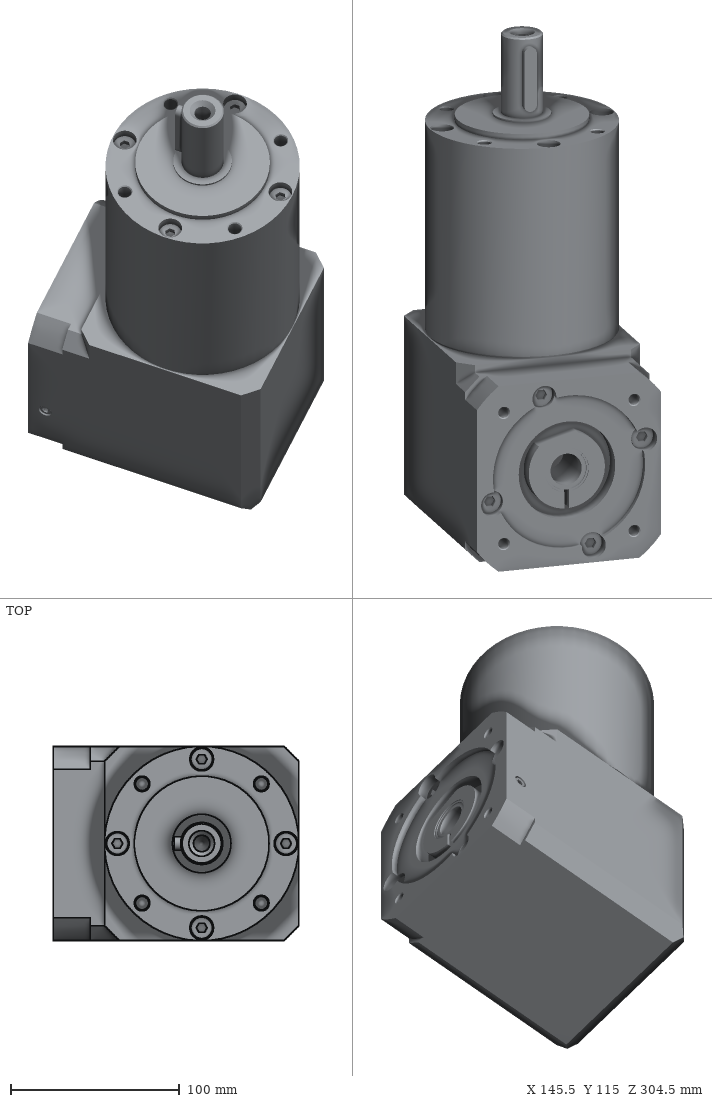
import cadquery as cq
import math


side = 115.0
half_side = side / 2
total_length_x = 145.5
total_height = 304.5
housing_height = 119.7
corner_chamfer = 8.8
flange_x = half_side - total_length_x
flange_thickness = 22.0
flange_corner_radius = 72.5
motor_axis_z = half_side

body_radius = half_side
seat_radius = 56.5
seat_height = 1.2
body_top = 250.0
pilot_radius = 40.0
pilot_top = 253.5
collar_radius = 17.5
collar_top = 255.0

shaft_radius = 12.5
shaft_chamfer = 1.0
key_width = 8.0
key_length = 40.0
key_bottom = 259.7
key_reach = 16.0
centre_hole_radius = 5.0
centre_hole_depth = 21.3
centre_hole_mouth_radius = 7.5

bolt_circle_radius = 50.0
output_recess_diameter = 14.0
output_recess_depth = 4.5
output_socket_size = 6.5
flange_recess_diameter = 15.0
flange_recess_depth = 6.0
flange_socket_size = 7.3
flange_bolt_angle = -18.0
socket_depth = 3.0
head_gap = 0.5
head_height = 1.5

output_hole_diameter = 8.0
output_hole_depth = 15.2
flange_hole_diameter = 6.5
flange_hole_depth = 15.2
flange_hole_circle_radius = 57.5
hole_chamfer = 0.5

recess_radius = 47.5
recess_depth = 4.0
well_radius = 30.0
well_depth = 13.7
hub_radius = 23.8
hub_face_depth = 4.3
hub_flat_distance = 20.0
hub_flat_angle = -15.0
hub_mouth_radius = 13.7
hub_mouth_depth = 0.5
sleeve_radius = 12.5
sleeve_face_depth = 5.5
hub_bore_radius = 9.7
hub_bore_depth = 39.5
hub_slot_width = 3.0

plug_z = 40.5
plug_diameter = 8.2
plug_recess_depth = 0.5
plug_socket_size = 4.3


def cylinder_z(radius, bottom, top):
    return cq.Workplane("XY").workplane(offset=bottom).circle(radius).extrude(top - bottom)


def cylinder_x(radius, start_depth, end_depth):
    """Cylinder on the motor axis between two depths measured from the flange face."""
    return flange_plane(start_depth).circle(radius).extrude(end_depth - start_depth)


def flange_plane(depth):
    """Plane on the motor axis, normal +X: local x is +Y and local y is +Z."""
    return cq.Workplane("YZ", origin=(flange_x + depth, 0, motor_axis_z))


def polar_points(radius, first_angle, count=4):
    angles = [math.radians(first_angle + 360 * i / count) for i in range(count)]
    return [(radius * math.cos(a), radius * math.sin(a)) for a in angles]


def make_housing():
    block = cq.Workplane("XY").box(side, side, housing_height, centered=(True, True, False))
    upright = block.edges("|Z").chamfer(corner_chamfer)
    for base_edges in ("|X and <Z", "|Y and <Z"):
        upright = upright.intersect(block.edges(base_edges).chamfer(corner_chamfer))
    snout = (
        flange_plane(flange_thickness)
        .rect(side, side)
        .extrude(-flange_x - flange_thickness)
        .edges("|X")
        .chamfer(corner_chamfer)
    )
    return upright.union(snout)


def make_flange():
    plate = flange_plane(0).rect(side, side).extrude(flange_thickness)
    return plate.intersect(cylinder_x(flange_corner_radius, 0, flange_thickness))


def make_output_body():
    seat = cylinder_z(seat_radius, housing_height, housing_height + seat_height)
    body = cylinder_z(body_radius, housing_height + seat_height, body_top)
    pilot = cylinder_z(pilot_radius, body_top, pilot_top)
    collar = cylinder_z(collar_radius, pilot_top, collar_top)
    return seat.union(body).union(pilot).union(collar)


def make_shaft():
    shaft = cylinder_z(shaft_radius, collar_top, total_height).faces(">Z").chamfer(shaft_chamfer)
    key = (
        cq.Workplane("YZ", origin=(0, 0, key_bottom + key_length / 2))
        .slot2D(key_length, key_width, 90)
        .extrude(-key_reach)
    )
    hole_bottom = total_height - centre_hole_depth
    cone_start = hole_bottom + centre_hole_radius
    mouth_start = total_height - (centre_hole_mouth_radius - centre_hole_radius)
    centre_hole = (
        cq.Workplane("XZ")
        .polyline(
            [
                (0, hole_bottom),
                (centre_hole_radius, cone_start),
                (centre_hole_radius, mouth_start),
                (centre_hole_mouth_radius, total_height),
                (0, total_height),
            ]
        )
        .close()
        .revolve()
    )
    return shaft.union(key).cut(centre_hole)


def screw_recesses(plane, points, diameter, depth, socket_size):
    """Cutter for sunk screw heads; the plane normal points into the material."""
    recesses = plane.pushPoints(points).circle(diameter / 2).extrude(depth)
    sockets = plane.pushPoints(points).polygon(6, socket_size).extrude(depth + socket_depth)
    gaps = (
        plane.pushPoints(points)
        .circle(diameter / 2)
        .circle(diameter / 2 - head_gap)
        .extrude(depth + head_height)
    )
    return recesses.union(sockets).union(gaps)


def threaded_holes(plane, points, diameter, depth):
    """Cutter for blind holes with a chamfered mouth; the plane normal points into the material."""
    holes = plane.pushPoints(points).circle(diameter / 2).extrude(depth)
    mouths = (
        plane.pushPoints(points)
        .circle(diameter / 2 + hole_chamfer)
        .extrude(hole_chamfer, taper=45)
    )
    return holes.union(mouths)


def make_motor_recess():
    """Cutter for the motor pilot, leaving the clamping hub standing in its well."""
    hub = cylinder_x(hub_radius, hub_face_depth, well_depth)
    flat_cut = (
        flange_plane(0)
        .transformed(rotate=(0, 0, hub_flat_angle))
        .center(0, hub_flat_distance + hub_radius / 2)
        .rect(2 * hub_radius, hub_radius)
        .extrude(well_depth)
    )
    slot = flange_plane(0).center(0, -hub_radius / 2).rect(hub_slot_width, hub_radius).extrude(well_depth)
    sleeve = cylinder_x(sleeve_radius, sleeve_face_depth, well_depth)
    mouth = cylinder_x(hub_mouth_radius, 0, hub_face_depth + hub_mouth_depth)
    sleeve_seat = cylinder_x(sleeve_radius, 0, well_depth)
    bore = cylinder_x(hub_bore_radius, 0, hub_bore_depth)
    recess = cylinder_x(recess_radius, 0, recess_depth)
    well = cylinder_x(well_radius, 0, well_depth)
    hub = hub.cut(flat_cut).cut(slot).cut(mouth).cut(sleeve_seat).union(sleeve).cut(bore)
    return recess.union(well).union(bore).cut(hub)


output_face = cq.Workplane(cq.Plane(origin=(0, 0, body_top), xDir=(1, 0, 0), normal=(0, 0, -1)))
flange_face = flange_plane(0)
plug_face = cq.Workplane(
    cq.Plane(origin=(flange_x + flange_thickness / 2, -half_side, plug_z), xDir=(1, 0, 0), normal=(0, 1, 0))
)

output_bolts = polar_points(bolt_circle_radius, 0)
output_holes = polar_points(bolt_circle_radius, 45)
flange_bolts = polar_points(bolt_circle_radius, flange_bolt_angle)
flange_holes = polar_points(flange_hole_circle_radius, 45)

cutters = [
    make_motor_recess(),
    screw_recesses(output_face, output_bolts, output_recess_diameter, output_recess_depth, output_socket_size),
    screw_recesses(flange_face, flange_bolts, flange_recess_diameter, flange_recess_depth, flange_socket_size),
    screw_recesses(plug_face, [(0, 0)], plug_diameter, plug_recess_depth, plug_socket_size),
    threaded_holes(output_face, output_holes, output_hole_diameter, output_hole_depth),
    threaded_holes(flange_face, flange_holes, flange_hole_diameter, flange_hole_depth),
]

result = make_housing().union(make_flange()).union(make_output_body()).union(make_shaft())
for cutter in cutters:
    result = result.cut(cutter)